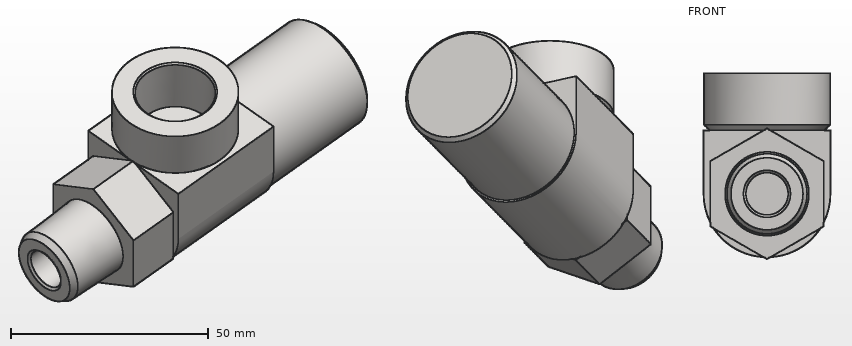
import cadquery as cq
import math


body_width = 32.1
body_top = 16.0
body_front = -15.0
body_length = 34.1

barrel_diameter = 31.0
barrel_length = 35.1
barrel_chamfer = 1.0

hex_across_flats = 28.6
hex_length = 14.3
hex_across_corners = hex_across_flats / math.cos(math.pi / 6)

thread_taper = 1 / 16
stem_length = 17.6
stem_base_diameter = 21.2
stem_tip_diameter = 18.2
stem_tip_length = 1.9
stem_end_diameter = stem_base_diameter - thread_taper * (stem_length - stem_tip_length)

bore_diameter = 10.67
bore_mouth_diameter = 11.9
bore_depth = stem_length + hex_length

boss_diameter = 32.0
boss_top = 30.5
neck_height = 1.5

port_mouth_diameter = 21.2
port_thread_diameter = 20.3
port_floor_diameter = 19.4
port_mouth_depth = (port_mouth_diameter - port_thread_diameter) / 2
port_depth = port_mouth_depth + (port_thread_diameter - port_floor_diameter) / thread_taper

body_rear = body_front + body_length
barrel_rear = body_rear + barrel_length
hex_front = body_front - hex_length
stem_front = hex_front - stem_length


def turned_y(stations):
    """Solid of revolution about Y from (y, diameter) stations."""
    rims = [(diameter / 2, y) for y, diameter in stations]
    outline = [(0, stations[0][0])] + rims + [(0, stations[-1][0])]
    return cq.Workplane("XY").polyline(outline).close().revolve(360, (0, 0, 0), (0, 1, 0))


def turned_z(stations):
    """Solid of revolution about Z from (z, diameter) stations."""
    rims = [(diameter / 2, z) for z, diameter in stations]
    outline = [(0, stations[0][0])] + rims + [(0, stations[-1][0])]
    return cq.Workplane("XZ").polyline(outline).close().revolve(360, (0, 0, 0), (0, 1, 0))


def make_body():
    half_width = body_width / 2
    return (
        cq.Workplane("XZ", origin=(0, body_rear, 0))
        .moveTo(-half_width, 0)
        .lineTo(-half_width, body_top)
        .lineTo(half_width, body_top)
        .lineTo(half_width, 0)
        .threePointArc((0, -half_width), (-half_width, 0))
        .close()
        .extrude(body_length)
    )


def make_barrel():
    return turned_y([
        (body_rear, barrel_diameter),
        (barrel_rear - barrel_chamfer, barrel_diameter),
        (barrel_rear, barrel_diameter - 2 * barrel_chamfer),
    ])


def make_hexagon():
    return (
        cq.Workplane("XZ", origin=(0, body_front, 0))
        .transformed(rotate=(0, 0, 30))
        .polygon(6, hex_across_corners)
        .extrude(hex_length)
    )


def make_stem():
    return turned_y([
        (hex_front, stem_base_diameter),
        (stem_front + stem_tip_length, stem_end_diameter),
        (stem_front, stem_tip_diameter),
    ])


def make_bore():
    mouth_depth = (bore_mouth_diameter - bore_diameter) / 2
    return turned_y([
        (stem_front, bore_mouth_diameter),
        (stem_front + mouth_depth, bore_diameter),
        (stem_front + bore_depth, bore_diameter),
    ])


def make_boss():
    return turned_z([
        (body_top, boss_diameter - 2 * neck_height),
        (body_top + neck_height, boss_diameter),
        (boss_top, boss_diameter),
    ])


def make_port():
    return turned_z([
        (boss_top, port_mouth_diameter),
        (boss_top - port_mouth_depth, port_thread_diameter),
        (boss_top - port_depth, port_floor_diameter),
    ])


solid = make_body()
for feature in (make_barrel(), make_hexagon(), make_stem(), make_boss()):
    solid = solid.union(feature)

result = solid.cut(make_bore()).cut(make_port())